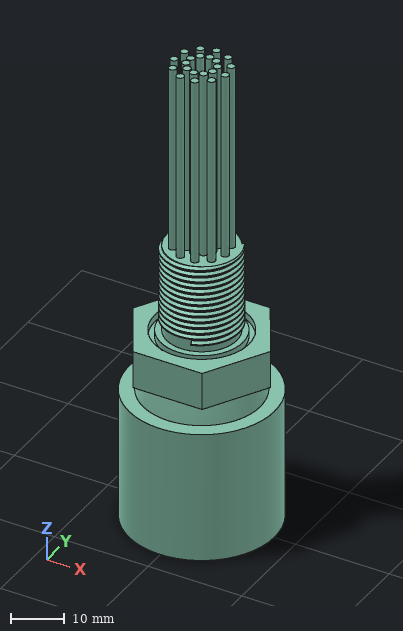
import cadquery as cq
import math

total_height = 100.0
body_height = 28.0
hex_bottom = 33.1
hex_top = 41.1
stem_top = 60.0

body_diameter = 31.0
shoulder_bottom_diameter = 24.9
shoulder_top_diameter = 22.4
shoulder_bulge = 0.1

hex_across_flats = 25.5
groove_outer_diameter = 20.0
groove_inner_diameter = 17.5
groove_depth = 1.5

stem_diameter = 14.9
thread_diameter = 16.1
thread_turns = 13.3
thread_length = 16.9
thread_start = 42.9
thread_start_angle = -75.0
thread_root_width = 1.2
thread_crest_width = 0.2
thread_overlap = 0.1

wire_diameter = 1.6
outer_ring_diameter = 11.0
outer_ring_count = 11
inner_ring_diameter = 6.0
inner_ring_count = 10
first_wire_angle = 90.0


def cylinder(diameter, bottom, top):
    return cq.Workplane("XY").workplane(offset=bottom).circle(diameter / 2).extrude(top - bottom)


def make_shoulder():
    """Revolved shoulder whose slanted side bulges slightly outward."""
    bottom_radius = shoulder_bottom_diameter / 2
    top_radius = shoulder_top_diameter / 2
    middle = ((bottom_radius + top_radius) / 2 + shoulder_bulge, (body_height + hex_bottom) / 2)
    return (
        cq.Workplane("XZ")
        .moveTo(0, body_height)
        .lineTo(bottom_radius, body_height)
        .threePointArc(middle, (top_radius, hex_bottom))
        .lineTo(0, hex_bottom)
        .close()
        .revolve(360, (0, 0), (0, 1))
    )


def make_hex_nut():
    """Hexagon with two corners on the X axis, grooved around the stem."""
    across_corners = hex_across_flats / math.cos(math.radians(30))
    nut = (
        cq.Workplane("XY")
        .workplane(offset=hex_bottom)
        .polygon(6, across_corners)
        .extrude(hex_top - hex_bottom)
    )
    groove_floor = hex_top - groove_depth
    groove = cylinder(groove_outer_diameter, groove_floor, hex_top).cut(
        cylinder(groove_inner_diameter, groove_floor, hex_top)
    )
    return nut.cut(groove)


def make_thread():
    """Right-handed helical ridge, trimmed flush with the top of the stem."""
    root_radius = stem_diameter / 2 - thread_overlap
    crest_radius = thread_diameter / 2
    helix = cq.Wire.makeHelix(thread_length / thread_turns, thread_length, stem_diameter / 2)
    ridge = (
        cq.Workplane("XZ")
        .polyline([
            (root_radius, -thread_root_width / 2),
            (crest_radius, -thread_crest_width / 2),
            (crest_radius, thread_crest_width / 2),
            (root_radius, thread_root_width / 2),
        ])
        .close()
        .sweep(cq.Workplane(obj=helix), isFrenet=True)
        .rotate((0, 0, 0), (0, 0, 1), thread_start_angle)
        .translate((0, 0, thread_start))
    )
    return ridge.intersect(cylinder(body_diameter, hex_top, stem_top))


def make_wire_ring(ring_diameter, count):
    return (
        cq.Workplane("XY")
        .workplane(offset=stem_top)
        .polarArray(ring_diameter / 2, first_wire_angle, 360, count)
        .circle(wire_diameter / 2)
        .extrude(total_height - stem_top)
    )


result = (
    cylinder(body_diameter, 0, body_height)
    .union(make_shoulder())
    .union(make_hex_nut())
    .union(cylinder(stem_diameter, hex_top, stem_top))
    .union(make_thread())
    .union(make_wire_ring(outer_ring_diameter, outer_ring_count))
    .union(make_wire_ring(inner_ring_diameter, inner_ring_count))
)